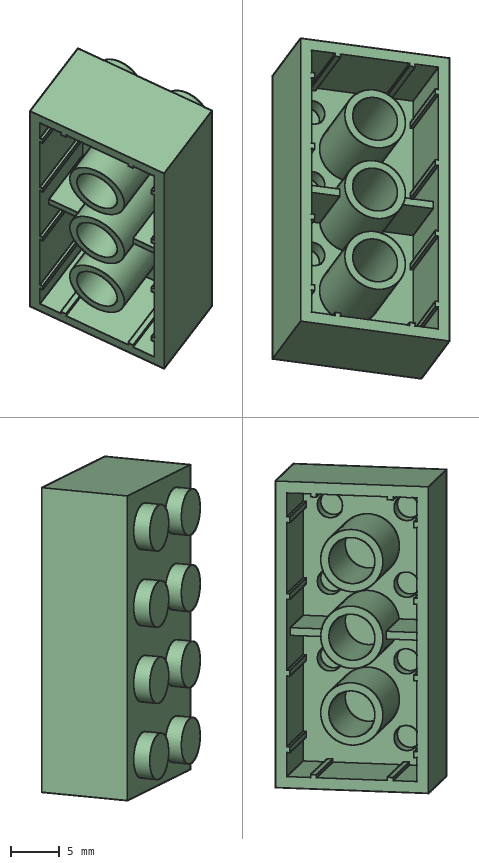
import cadquery as cq

pitch = 8.0
columns = 2
rows = 4
width = columns * pitch
height = rows * pitch
body_depth = 9.6

cavity_width = 13.6
cavity_height = 29.6
roof = 1.0
cavity_depth = body_depth - roof

stud_diameter = 4.8
stud_height = 1.8
stud_hole_diameter = 2.62
stud_hole_depth = 1.8

tube_outer_diameter = 6.5
tube_inner_diameter = 4.8
web_thickness = 0.8
web_setback = 1.8

rib_width = 0.6
rib_projection = 0.32

front_y = -body_depth / 2
roof_y = front_y + cavity_depth
back_y = body_depth / 2

column_places = [(i - (columns - 1) / 2) * pitch for i in range(columns)]
row_places = [(i - (rows - 1) / 2) * pitch for i in range(rows)]
stud_places = [(x, z) for x in column_places for z in row_places]
tube_places = [(0, (i - (rows - 2) / 2) * pitch) for i in range(rows - 1)]

solid_stud = (column_places[0], row_places[0])
hollow_places = [place for place in stud_places if place != solid_stud]


def box(x_size, z_size, y_start, y_end, x=0, z=0):
    """Box centred at (x, z), reaching from y_start to y_end."""
    y_size = y_end - y_start
    return cq.Workplane("XY").box(x_size, y_size, z_size).translate((x, y_start + y_size / 2, z))


def cylinders(places, diameter, y_start, y_end):
    """Cylinders along Y at the given (x, z) places."""
    plane = cq.Workplane("XZ", origin=(0, y_start, 0))
    return plane.pushPoints(places).circle(diameter / 2).extrude(y_start - y_end)


def add_grip_ribs(brick):
    """Ribs running the full cavity depth on all four walls."""
    rib_x = (cavity_width - rib_projection) / 2
    rib_z = (cavity_height - rib_projection) / 2
    for side in (-1, 1):
        for z in row_places:
            brick = brick.union(box(rib_projection, rib_width, front_y, roof_y, side * rib_x, z))
        for x in column_places:
            brick = brick.union(box(rib_width, rib_projection, front_y, roof_y, x, side * rib_z))
    return brick


brick = box(width, height, front_y, back_y)
brick = brick.cut(box(cavity_width, cavity_height, front_y, roof_y))
brick = brick.union(cylinders(stud_places, stud_diameter, back_y, back_y + stud_height))

brick = add_grip_ribs(brick)
brick = brick.union(box(cavity_width, web_thickness, front_y + web_setback, roof_y))
brick = brick.union(cylinders(tube_places, tube_outer_diameter, front_y, roof_y))
brick = brick.cut(cylinders(tube_places, tube_inner_diameter, front_y, roof_y))
brick = brick.cut(cylinders(hollow_places, stud_hole_diameter, roof_y, roof_y + stud_hole_depth))

result = brick